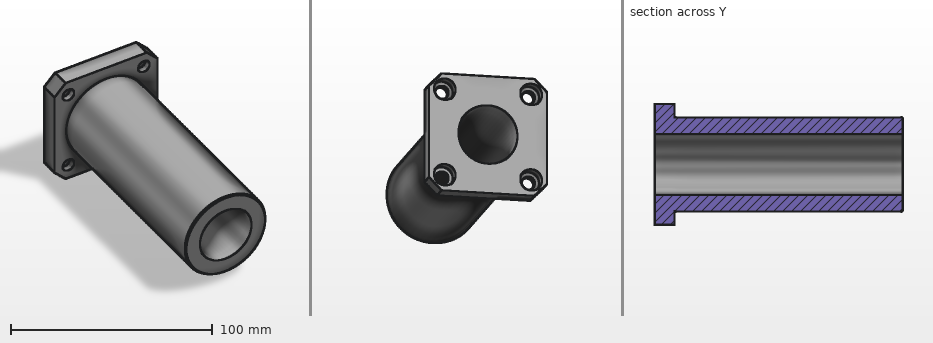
import cadquery as cq

length = 123.0
flange_width = 60.0
flange_thickness = 10.0
corner_chamfer = 6.4

tube_diameter = 47.0
bore_diameter = 30.0
end_chamfer = 0.6
flange_end_chamfer = 0.31

hole_spacing = 43.9
hole_diameter = 6.6
counterbore_diameter = 11.0
counterbore_depth = 6.2


def make_flange():
    """Square plate with its four corners cut off."""
    plate = cq.Workplane("YZ").rect(flange_width, flange_width).extrude(flange_thickness)
    return plate.edges("|X").chamfer(corner_chamfer)


def make_tube():
    """Cylinder behind the flange with both outer rims chamfered."""
    return (
        cq.Workplane("YZ", origin=(flange_thickness, 0, 0))
        .circle(tube_diameter / 2)
        .extrude(length - flange_thickness)
        .faces(">X")
        .chamfer(end_chamfer)
        .faces("<X")
        .chamfer(flange_end_chamfer)
    )


def cut_mounting_holes(body):
    """Four through holes, counterbored from the flange's outer face."""
    return (
        body.faces("<X")
        .workplane(origin=(0, 0, 0))
        .rect(hole_spacing, hole_spacing, forConstruction=True)
        .vertices()
        .cboreHole(hole_diameter, counterbore_diameter, counterbore_depth, flange_thickness)
    )


bore = cq.Workplane("YZ").circle(bore_diameter / 2).extrude(length)
flange = cut_mounting_holes(make_flange())
result = flange.union(make_tube()).cut(bore)